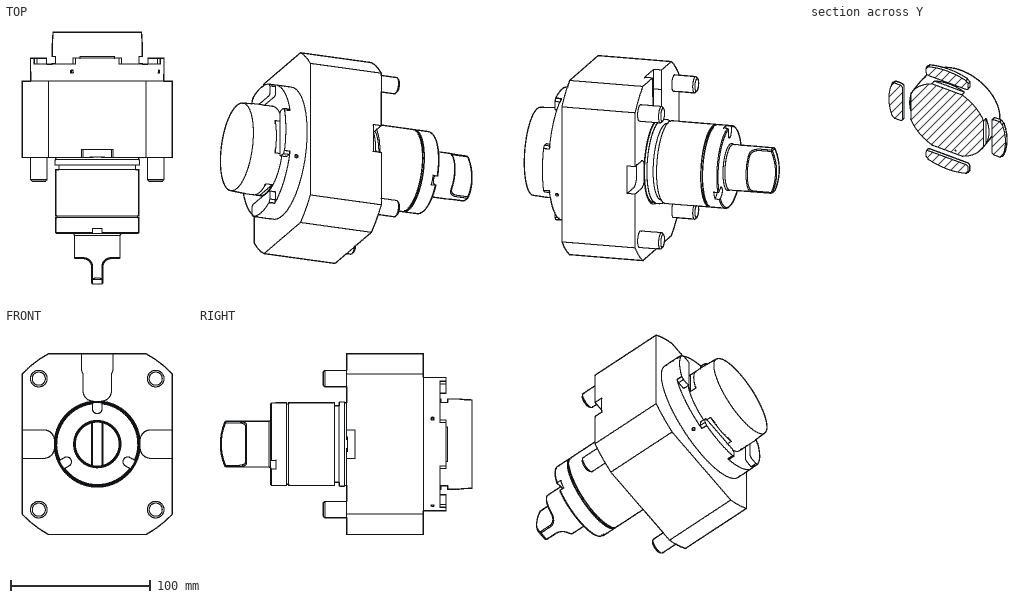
import cadquery as cq
import math


overall_length = 181.0

block_width = 108.0
block_height = 130.0
block_depth = 55.0
corner_radius = 73.8

pocket_depth = 6.0
pocket_width = 20.5
pocket_inner_reach = 30.8
pocket_corner_radius = 7.6
pocket_mouth_width = 22.5
pocket_mouth_start = 53.5
pocket_mouth_arc_radius = 4.7

clearance_diameter = 61.9
clearance_depth = 0.5

pin_diameter = 12.0
pin_length = 17.0
pin_chamfer = 1.3
pin_spacing_x = 84.0
pin_spacing_z = 94.1

disc_diameter = 96.0
disc_rear = 67.2
lug_count = 4
lug_pitch = 360 / lug_count
lug_rear = 71.5
lug_inner_reach = 36.4
lug_width = 34.8
lug_outer_width = 31.1
lug_taper_start = 43.3
lug_inner_fillet = 2.4
oil_hole_diameter = 2.2
oil_hole_depth = 1.8
oil_hole_y = 61.7
oil_hole_angle = 22.5

nose_diameter = 65.0
nose_end_diameter = 63.7
nose_taper_start = 80.4
nose_rear = 90.1
notch_reach = 30.0
notch_front = 67.7
notch_rear = 72.5

shank_diameter = 59.7
seal_diameter = 60.8
seal_rear = -1.5
seal_front = -5.5
seal_fillet = 0.7
relief_diameter = 55.2
relief_front = -8.7
thin_groove_diameter = 58.0
thin_groove_rear = -41.8
thin_groove_front = -43.0
shank_front = -54.7
shank_chamfer = 0.7

wrench_slot_width = 6.9
wrench_slot_depth = 3.8
wrench_slot_inner_reach = 21.9
wrench_slot_count = 3

spindle_diameter = 33.0
spindle_root_diameter = 34.0
spindle_root_length = 1.3
spindle_shoulder = -72.5
blade_tip = nose_rear - overall_length
blade_thickness = 8.0
blade_root_radius = 6.0
blade_tip_radius = 39.8
blade_chamfer = 0.7


def cylinder(diameter, y_start, y_end):
    """Cylinder on the tool axis between two Y positions."""
    length = y_end - y_start
    return cq.Workplane(cq.Solid.makeCylinder(
        diameter / 2, length, cq.Vector(0, y_start, 0), cq.Vector(0, 1, 0)))


def section(y):
    """Workplane across the tool axis at y: local x is X, local y is Z, extruding toward -Y."""
    return cq.Workplane("XZ", origin=(0, y, 0))


def about_axis(shape, angle):
    """Turn a shape about the tool axis; positive angles go from +Z toward +X."""
    return shape.rotate((0, 0, 0), (0, 1, 0), angle)


def make_block():
    block = section(block_depth).rect(block_width, block_height).extrude(block_depth)
    return block.intersect(cylinder(2 * corner_radius, 0, block_depth))


def make_pocket(outer_reach):
    """Straight pocket opening toward +Z, with rounded inner corners."""
    length = outer_reach - pocket_inner_reach
    pocket = (
        section(pocket_depth)
        .center(0, pocket_inner_reach + length / 2)
        .rect(pocket_width, length)
        .extrude(pocket_depth)
    )
    return pocket.edges("|Y and <Z").fillet(pocket_corner_radius)


def make_pocket_mouth():
    """Wider outer end of the top pocket, closing in along a short arc on each side."""
    wide = pocket_mouth_width / 2
    narrow = pocket_width / 2
    radius = pocket_mouth_arc_radius
    arc_drop = math.sqrt(radius**2 - (radius - wide + narrow) ** 2)
    start = pocket_mouth_start
    top = block_height / 2
    return (
        section(pocket_depth)
        .moveTo(-wide, top)
        .lineTo(-wide, start)
        .radiusArc((-narrow, start - arc_drop), -radius)
        .lineTo(narrow, start - arc_drop)
        .radiusArc((wide, start), -radius)
        .lineTo(wide, top)
        .close()
        .extrude(pocket_depth)
    )


def make_pins():
    return (
        section(0)
        .rect(pin_spacing_x, pin_spacing_z, forConstruction=True)
        .vertices()
        .circle(pin_diameter / 2)
        .extrude(pin_length)
        .faces("<Y")
        .chamfer(pin_chamfer)
    )


def make_lug():
    """Lug on the disc toward +Z: rounded inside, tapering to its narrower outer end."""
    half = lug_width / 2
    outer_half = lug_outer_width / 2
    taper_end = lug_taper_start + half - outer_half
    disc_radius = disc_diameter / 2
    lug = (
        section(lug_rear)
        .moveTo(-half, lug_inner_reach)
        .lineTo(-half, lug_taper_start)
        .lineTo(-outer_half, taper_end)
        .lineTo(-outer_half, disc_radius)
        .lineTo(outer_half, disc_radius)
        .lineTo(outer_half, taper_end)
        .lineTo(half, lug_taper_start)
        .lineTo(half, lug_inner_reach)
        .close()
        .extrude(lug_rear - disc_rear)
        .edges("|Y and <Z")
        .fillet(lug_inner_fillet)
    )
    return lug.intersect(cylinder(disc_diameter, disc_rear, lug_rear))


def make_disc():
    disc = cylinder(disc_diameter, block_depth, disc_rear)
    hole = cq.Workplane(cq.Solid.makeCylinder(
        oil_hole_diameter / 2, 2 * oil_hole_depth,
        cq.Vector(0, oil_hole_y, disc_diameter / 2 - oil_hole_depth), cq.Vector(0, 0, 1)))
    lug = make_lug()
    for index in range(lug_count):
        disc = disc.union(about_axis(lug, lug_pitch * index))
        disc = disc.cut(about_axis(hole, lug_pitch * index - oil_hole_angle))
    return disc


def make_nose():
    """Tapered nose with four flat notches, one facing each lug."""
    radius = nose_diameter / 2
    nose = (
        cq.Workplane("XY")
        .moveTo(0, disc_rear)
        .lineTo(radius, disc_rear)
        .lineTo(radius, nose_taper_start)
        .lineTo(nose_end_diameter / 2, nose_rear)
        .lineTo(0, nose_rear)
        .close()
        .revolve(360, (0, 0, 0), (0, 1, 0))
    )
    notch = (
        section(notch_rear)
        .center(0, notch_reach + radius / 2)
        .rect(nose_diameter, radius)
        .extrude(notch_rear - notch_front)
    )
    for index in range(lug_count):
        nose = nose.cut(about_axis(notch, lug_pitch * index))
    return nose


def make_wrench_slot():
    """Slot with a round inner end, open at the shank's edge toward +Z."""
    radius = wrench_slot_width / 2
    centre = wrench_slot_inner_reach + radius
    return (
        section(shank_front + wrench_slot_depth)
        .moveTo(-radius, shank_diameter / 2 + radius)
        .lineTo(-radius, centre)
        .threePointArc((0, wrench_slot_inner_reach), (radius, centre))
        .lineTo(radius, shank_diameter / 2 + radius)
        .close()
        .extrude(wrench_slot_depth)
    )


def make_shank():
    seal = cylinder(seal_diameter, seal_front, seal_rear).edges().fillet(seal_fillet)
    head = cylinder(shank_diameter, shank_front, thin_groove_front).faces("<Y").chamfer(shank_chamfer)
    shank = (
        cylinder(shank_diameter, seal_rear, 0)
        .union(seal)
        .union(cylinder(relief_diameter, relief_front, seal_front))
        .union(cylinder(shank_diameter, thin_groove_rear, relief_front))
        .union(cylinder(thin_groove_diameter, thin_groove_front, thin_groove_rear))
        .union(head)
    )
    slot = make_wrench_slot()
    for index in range(wrench_slot_count):
        shank = shank.cut(about_axis(slot, 360 / wrench_slot_count * index))
    return shank


def make_spindle():
    """Round spindle whose front is cut away on both sides to leave a blade with a curved tip."""
    radius = spindle_diameter / 2
    spindle = (
        cq.Workplane("XY")
        .moveTo(0, shank_front)
        .lineTo(spindle_root_diameter / 2, shank_front)
        .lineTo(radius, shank_front - spindle_root_length)
        .lineTo(radius, blade_tip)
        .lineTo(0, blade_tip)
        .close()
        .revolve(360, (0, 0, 0), (0, 1, 0))
    )
    tip_cylinder = (
        cq.Workplane("YZ")
        .center(blade_tip + blade_tip_radius, 0)
        .circle(blade_tip_radius)
        .extrude(spindle_diameter, both=True)
    )
    spindle = spindle.intersect(tip_cylinder)
    side_length = spindle_shoulder - blade_tip
    side_cut = (
        cq.Workplane("XY")
        .box(radius, side_length, spindle_diameter)
        .translate((blade_thickness / 2 + radius / 2, blade_tip + side_length / 2, 0))
        .edges("|Z and <X and >Y")
        .fillet(blade_root_radius)
    )
    spindle = spindle.cut(side_cut).cut(about_axis(side_cut, 180))
    around_blade = cq.selectors.BoxSelector(
        (-spindle_diameter, blade_tip - blade_chamfer, -spindle_diameter),
        (spindle_diameter, spindle_shoulder + blade_chamfer, spindle_diameter))
    return spindle.edges(around_blade).edges("not |Z").chamfer(blade_chamfer)


body = make_block()
body = body.cut(make_pocket(block_height / 2)).cut(make_pocket_mouth())
for side_angle in (90, -90):
    body = body.cut(about_axis(make_pocket(block_width / 2), side_angle))
body = body.cut(cylinder(clearance_diameter, 0, clearance_depth))
body = body.union(cylinder(shank_diameter, 0, clearance_depth))

result = (
    body.union(make_pins())
    .union(make_disc())
    .union(make_nose())
    .union(make_shank())
    .union(make_spindle())
)